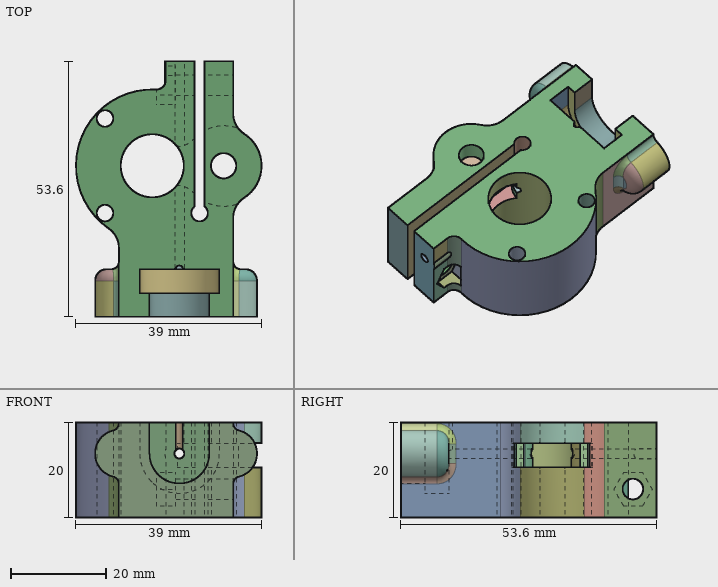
import cadquery as cq
import math

height = 20.0
length = 53.6
front_y = -31.7
back_y = front_y + length

main_radius = 16.0
lobe_radius = 8.0
lobe_x = 14.95
body_left = -7.0
body_width = 24.0
body_right = body_left + body_width
tab_left = 2.85
tab_fillet = 2.0
neck_fillet = 5.0
lobe_fillet = 5.0

bore_radius = 6.6
lobe_hole_radius = 2.6
mount_offset = 9.9
mount_hole_radius = 1.7
slit_width = 2.05

path_x = 5.7
path_z = 13.45
path_radius = 1.0
path_wall_radius = 3.05

mount_neck_radius = 6.25
mount_neck_length = 5.0
mount_head_radius = 8.3
mount_head_length = 5.05
mount_head_y = front_y + mount_neck_length
mount_back_y = mount_head_y + mount_head_length
groove_radius = 0.75

ear_radius = 5.0
ear_length = 10.0
ear_end_fillet = 2.45
ear_root_fillet = 1.5

pocket_bottom = 10.55
pocket_height = 5.1
pocket_radius = 8.45
pocket_mouth_half_width = 4.0
pocket_fillet = 5.0

screw_to_back = 5.0
screw_y = back_y - screw_to_back
screw_z = 6.0
screw_radius = 2.15
nut_flats = 6.95
nut_depth = 2.0


def arc_middle(center, start, end, radius):
    """Mid point of the shorter arc from start to end."""
    chord_x = (start[0] + end[0]) / 2 - center[0]
    chord_y = (start[1] + end[1]) / 2 - center[1]
    stretch = radius / math.hypot(chord_x, chord_y)
    return center[0] + chord_x * stretch, center[1] + chord_y * stretch


def wall_blend(circle_x, radius, wall_x, fillet, side, end):
    """Fillet between a circle centred on the X axis and a wall running along Y.

    side is +1 when the fillet lies to the right of the wall, end is the sign of Y.
    Returns the point on the circle, the mid point of the arc and the point on the wall.
    """
    reach = radius + fillet
    offset = wall_x + side * fillet - circle_x
    center = (circle_x + offset, end * math.sqrt(reach**2 - offset**2))
    on_circle = (circle_x + offset * radius / reach, center[1] * radius / reach)
    on_wall = (wall_x, center[1])
    return on_circle, arc_middle(center, on_circle, on_wall, fillet), on_wall


def plate():
    tab_arc = wall_blend(0, main_radius, tab_left, tab_fillet, -1, 1)
    neck_arc = wall_blend(0, main_radius, body_left, neck_fillet, -1, -1)
    lower_arc = wall_blend(lobe_x, lobe_radius, body_right, lobe_fillet, 1, -1)
    upper_arc = wall_blend(lobe_x, lobe_radius, body_right, lobe_fillet, 1, 1)
    return (
        cq.Workplane("XY")
        .moveTo(tab_left, back_y)
        .lineTo(*tab_arc[2])
        .threePointArc(tab_arc[1], tab_arc[0])
        .threePointArc((-main_radius, 0), neck_arc[0])
        .threePointArc(neck_arc[1], neck_arc[2])
        .lineTo(body_left, front_y)
        .lineTo(body_right, front_y)
        .lineTo(*lower_arc[2])
        .threePointArc(lower_arc[1], lower_arc[0])
        .threePointArc((lobe_x + lobe_radius, 0), upper_arc[0])
        .threePointArc(upper_arc[1], upper_arc[2])
        .lineTo(body_right, back_y)
        .close()
        .extrude(height)
    )


def box(x_range, y_range, z_range):
    size = [high - low for low, high in (x_range, y_range, z_range)]
    return cq.Workplane("XY").box(*size, centered=False).translate((x_range[0], y_range[0], z_range[0]))


def rod_along_y(x, z, radius, y_start, length):
    axis_start = cq.Vector(x, y_start, z)
    return cq.Workplane(cq.Solid.makeCylinder(radius, length, axis_start, cq.Vector(0, 1, 0)))


def add_ears(body):
    for wall_x in (body_left, body_right):
        ear = rod_along_y(wall_x, path_z, ear_radius, front_y, ear_length)
        body = body.union(ear.faces(">Y").edges().fillet(ear_end_fillet))
    margin = 0.005
    for wall_x in (body_left, body_right):
        root = cq.selectors.BoxSelector(
            (wall_x - margin, front_y - margin, path_z - ear_radius - margin),
            (wall_x + margin, front_y + ear_length + margin, path_z + ear_radius + margin),
            boundingbox=True,
        )
        body = body.edges(root).fillet(ear_root_fillet)
    return body


def u_slot(radius, y_start, length):
    rounded = rod_along_y(path_x, path_z, radius, y_start, length)
    x_range = (path_x - radius, path_x + radius)
    return rounded.union(box(x_range, (y_start, y_start + length), (path_z, height)))


def upright_hole(x, y, radius):
    return cq.Workplane("XY").center(x, y).circle(radius).extrude(height)


def bearing_pocket():
    """Disc around the lobe hole with a filleted mouth that opens into the drive bore."""
    reach = pocket_radius + pocket_fillet
    fillet_y = pocket_mouth_half_width + pocket_fillet
    fillet_x = lobe_x - math.sqrt(reach**2 - fillet_y**2)
    mouth = (fillet_x, pocket_mouth_half_width)
    on_disc = (lobe_x + (fillet_x - lobe_x) * pocket_radius / reach, fillet_y * pocket_radius / reach)
    middle = arc_middle((fillet_x, fillet_y), mouth, on_disc, pocket_fillet)
    return (
        cq.Workplane("XY", origin=(0, 0, pocket_bottom))
        .moveTo(mouth[0], -mouth[1])
        .lineTo(*mouth)
        .threePointArc(middle, on_disc)
        .threePointArc((lobe_x + pocket_radius, 0), (on_disc[0], -on_disc[1]))
        .threePointArc((middle[0], -middle[1]), (mouth[0], -mouth[1]))
        .close()
        .extrude(pocket_height)
    )


def clamp_screw():
    plane = cq.Workplane("YZ", origin=(tab_left - tab_fillet, screw_y, screw_z))
    nut = plane.polygon(6, nut_flats / math.cos(math.pi / 6)).extrude(tab_fillet + nut_depth)
    screw = plane.circle(screw_radius).extrude(body_right - tab_left + tab_fillet)
    return nut.union(screw)


body = add_ears(plate())
body = body.union(rod_along_y(path_x, path_z, path_wall_radius, main_radius, back_y - main_radius))

body = body.cut(upright_hole(0, 0, bore_radius))
body = body.cut(upright_hole(lobe_x, 0, lobe_hole_radius))
for x, y in ((-mount_offset, mount_offset), (-mount_offset, -mount_offset), (mount_offset, -mount_offset)):
    body = body.cut(upright_hole(x, y, mount_hole_radius))
slit_x = (mount_offset - slit_width / 2, mount_offset + slit_width / 2)
body = body.cut(box(slit_x, (-mount_offset, back_y), (0, height)))

body = body.cut(u_slot(mount_neck_radius, front_y, mount_neck_length))
body = body.cut(u_slot(mount_head_radius, mount_head_y, mount_head_length))
groove = cq.Workplane("XY", origin=(path_x, mount_back_y, path_z)).circle(groove_radius)
body = body.cut(groove.extrude(height - path_z))
body = body.cut(rod_along_y(path_x, path_z, path_radius, front_y, length))

body = body.cut(bearing_pocket())
result = body.cut(clamp_screw())